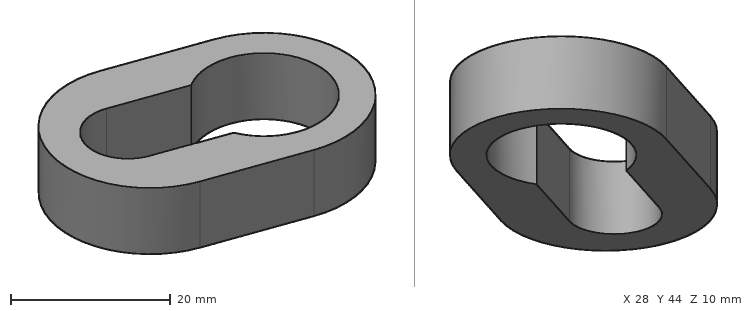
import cadquery as cq

width = 28.0
length = 44.0
thickness = 10.0

barrel_diameter = 18.8
slot_width = 12.0
slot_end_wall = 4.9

barrel_center_y = (length - width) / 2
slot_end_center_y = -length / 2 + slot_end_wall + slot_width / 2


def make_body():
    return cq.Workplane("XY").slot2D(length, width, angle=90).extrude(thickness)


def make_keyhole():
    barrel = (
        cq.Workplane("XY")
        .center(0, barrel_center_y)
        .circle(barrel_diameter / 2)
        .extrude(thickness)
    )
    slot_span = barrel_center_y - slot_end_center_y
    slot = (
        cq.Workplane("XY")
        .center(0, (barrel_center_y + slot_end_center_y) / 2)
        .slot2D(slot_span + slot_width, slot_width, angle=90)
        .extrude(thickness)
    )
    return barrel.union(slot)


result = make_body().cut(make_keyhole())